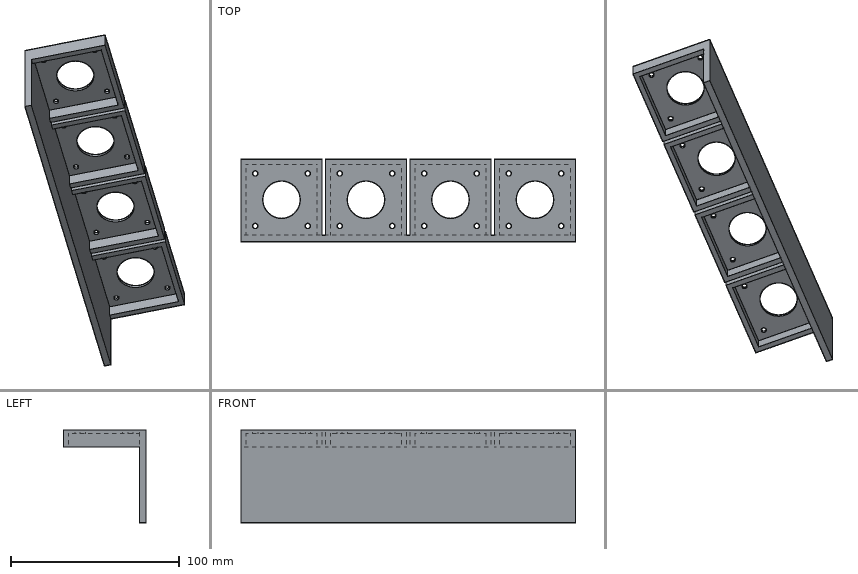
import cadquery as cq

length = 198.0
depth = 49.0
height = 55.0
plate_thickness = 10.0
wall_thickness = 4.0

pad_count = 4
slot_width = 2.0
pad_width = (length - (pad_count - 1) * slot_width) / pad_count
pad_pitch = pad_width + slot_width

bore_diameter = 22.0
screw_diameter = 3.0
screw_spacing = 31.0

floor_thickness = 2.0
recess_depth = plate_thickness - floor_thickness

bore_y = depth - pad_width / 2
recess_side = 2 * (bore_y - wall_thickness)
bore_centers = [(pad_width / 2 + i * pad_pitch, bore_y) for i in range(pad_count)]


def make_bracket():
    """Horizontal plate on top of a vertical wall along the front edge."""
    plate = cq.Workplane("XY").box(length, depth, plate_thickness, centered=False)
    plate = plate.translate((0, 0, height - plate_thickness))
    wall = cq.Workplane("XY").box(length, wall_thickness, height, centered=False)
    return plate.union(wall)


def make_slots():
    """Cutters between neighbouring pads, open at the back and ending at the wall."""
    slot_length = depth - wall_thickness
    slots = cq.Workplane("XY")
    for i in range(1, pad_count):
        slot = cq.Workplane("XY").box(slot_width, slot_length, height, centered=False)
        slots = slots.add(slot.translate((i * pad_pitch - slot_width, wall_thickness, 0)))
    return slots.combine()


def make_holes():
    """Cutters for the central bore and four screw holes of every pad."""
    offset = screw_spacing / 2
    screw_centers = [
        (x + side_x * offset, y + side_y * offset)
        for x, y in bore_centers
        for side_x in (-1, 1)
        for side_y in (-1, 1)
    ]
    bores = cq.Workplane("XY").pushPoints(bore_centers).circle(bore_diameter / 2).extrude(height)
    screws = cq.Workplane("XY").pushPoints(screw_centers).circle(screw_diameter / 2).extrude(height)
    return bores.union(screws)


def make_recesses():
    """Cutters for the square recesses, open at the underside of the plate."""
    recesses = cq.Workplane("XY").workplane(offset=height - plate_thickness)
    return recesses.pushPoints(bore_centers).rect(recess_side, recess_side).extrude(recess_depth)


result = make_bracket().cut(make_slots()).cut(make_holes()).cut(make_recesses())